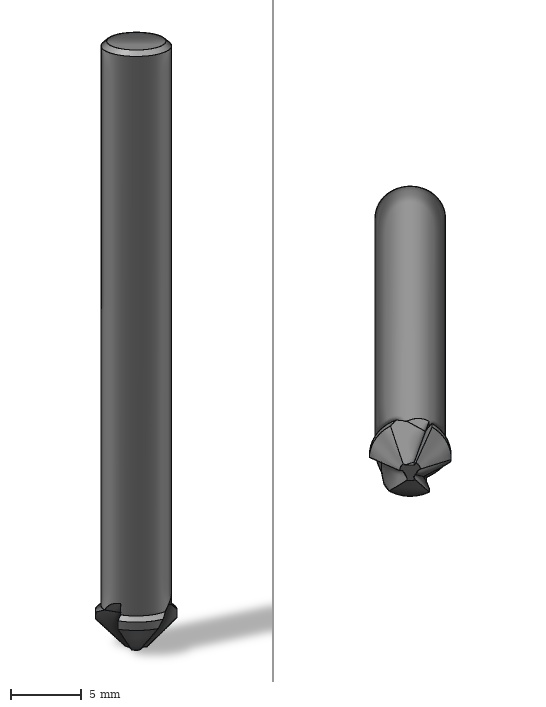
import cadquery as cq
import math


total_length = 45.0
shank_radius = 5.0 / 2
shank_chamfer_radial = 0.4
shank_chamfer_height = 0.35

head_radius = 5.8 / 2
tip_radius = 1.5 / 2
cone_half_angle = 45.0
cone_height = (head_radius - tip_radius) / math.tan(math.radians(cone_half_angle))
margin_height = 0.62
back_chamfer_height = 0.33
margin_top = cone_height + margin_height
head_top = margin_top + back_chamfer_height

flute_count = 3
flute_pitch = 360 / flute_count
floor_angle = 181.5
lip_lead_angle = 1.5
flute_floor_at_tip = 0.22
flute_runout = 3.93
floor_slope = (shank_radius - flute_floor_at_tip) / flute_runout
cutter_reach = 2 * head_radius
cutter_start = -1.0

web_inradius = 0.46
web_circumradius = web_inradius / math.cos(math.pi / flute_count)
web_turn = 30.0


def make_head_blank():
    """Truncated cone, cylindrical margin and back chamfer, revolved about Z."""
    profile = (
        cq.Workplane("XZ")
        .lineTo(-tip_radius, 0)
        .lineTo(-head_radius, cone_height)
        .lineTo(-head_radius, margin_top)
        .lineTo(-shank_radius, head_top)
        .lineTo(0, head_top)
        .close()
    )
    return profile.revolve(360, (0, 0, 0), (0, 1, 0))


def make_shank_blank():
    """Round shank with a chamfered top end, revolved about Z."""
    profile = (
        cq.Workplane("XZ")
        .moveTo(0, head_top)
        .lineTo(-shank_radius, head_top)
        .lineTo(-shank_radius, total_length - shank_chamfer_height)
        .lineTo(-shank_radius + shank_chamfer_radial, total_length)
        .lineTo(0, total_length)
        .close()
    )
    return profile.revolve(360, (0, 0, 0), (0, 1, 0))


def floor_distance(z):
    """Distance of a flute floor from the axis at height z."""
    return flute_floor_at_tip + floor_slope * z


def make_flute_cutter():
    """Flute along +X: a floor rising outward, a radial cutting face, and the tip web left standing."""
    cutter_top = (cutter_reach - flute_floor_at_tip) / floor_slope
    wedge = (
        cq.Workplane("XZ")
        .moveTo(floor_distance(cutter_start), cutter_start)
        .lineTo(cutter_reach, cutter_start)
        .lineTo(cutter_reach, cutter_top)
        .close()
        .extrude(cutter_reach, both=True)
    )
    behind_lip = (
        cq.Workplane("XY", origin=(0, 0, cutter_start))
        .rect(4 * cutter_reach, 2 * cutter_reach)
        .extrude(cutter_top - cutter_start)
        .translate((0, cutter_reach, 0))
        .rotate((0, 0, 0), (0, 0, 1), lip_lead_angle)
    )
    web = (
        cq.Workplane("XY", origin=(0, 0, cutter_start))
        .polygon(flute_count, 2 * web_circumradius)
        .extrude(flute_runout - cutter_start)
        .rotate((0, 0, 0), (0, 0, 1), web_turn + lip_lead_angle)
    )
    return wedge.cut(behind_lip).cut(web)


flute_cutter = make_flute_cutter()
head = make_head_blank()
shank = make_shank_blank()
for index in range(flute_count):
    flute = flute_cutter.rotate((0, 0, 0), (0, 0, 1), floor_angle + index * flute_pitch)
    head = head.cut(flute)
    shank = shank.cut(flute)

result = cq.Compound.makeCompound([head.val(), shank.val()])